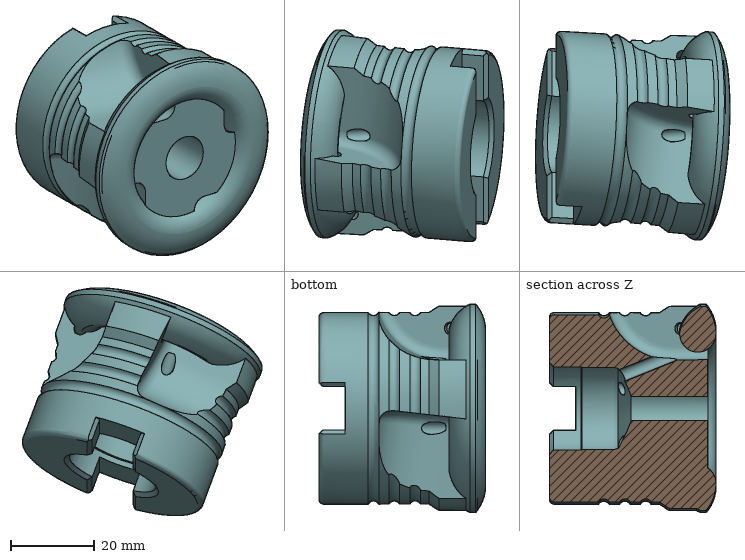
import cadquery as cq
import math

length = 40.0
cutting_radius = 25.0
tooth_count = 4

shank_radius = 23.0
lead_length = 1.5
lead_height = 1.0
lead_bulge = (0.45, 22.7)
head_radius = 24.5
flare_start = 26.4
flare_end = 28.75
head_end = 38.0

groove_first = 13.1
groove_pitch = 5.0
groove_count = 3
groove_radius = 1.5
groove_depth = 0.75

rim_back = 31.15
rim_waist_radius = 18.75
rim_inner_radius = 14.25
rim_back_bulge = (32.8, 22.35)
rim_crest_start = 36.25
rim_crest_end = 37.6
rim_front_bulge = (39.05, 22.75)

bore_radius = 11.0
bore_chamfer = 1.0
bore_step = 0.15
bore_step_start = 7.65
bore_step_end = 7.9
bore_neck_start = 15.65
bore_end = 16.5
bore_neck_radius = 10.65
bore_point_angle = 118.0
through_radius = 5.5

slot_width = 10.4
slot_depth = 6.3
slot_chamfer = 1.0

gash_floor = 11.6
gash_run_out_start = 30.0
gash_run_out_radius = 16.0
gash_fillet = 3.0
gash_wall_offset = 1.95
gash_tilt = 6.5

screw_radius = 1.5
screw_x = 31.6
screw_height = 19.15
screw_depth = 5.0

coolant_radius = 1.5
coolant_offset = 4.75
coolant_exit_x = 27.6
coolant_exit_height = 12.0
coolant_angle = 22.0
coolant_reach_back = 12.0
coolant_reach_out = 2.5

clearance = 5.0


def revolve_about_x(profile):
    return profile.close().revolve(360, (0, 0, 0), (1, 0, 0))


def turned_body():
    body = revolve_about_x(
        cq.Workplane("XY")
        .lineTo(0, shank_radius - lead_height)
        .threePointArc(lead_bulge, (lead_length, shank_radius))
        .lineTo(flare_start, shank_radius)
        .lineTo(flare_end, head_radius)
        .lineTo(head_end, head_radius)
        .lineTo(head_end, 0)
    )
    groove_center = shank_radius - groove_depth + groove_radius
    for index in range(groove_count):
        groove = cq.Solid.makeTorus(
            groove_center,
            groove_radius,
            cq.Vector(groove_first + index * groove_pitch, 0, 0),
            cq.Vector(1, 0, 0),
        )
        body = body.cut(cq.Workplane(groove))
    return body


def cutting_rim():
    rim_inside = ((rim_back + length) / 2, rim_inner_radius)
    return revolve_about_x(
        cq.Workplane("XY")
        .moveTo(rim_back, rim_waist_radius)
        .threePointArc(rim_back_bulge, (rim_crest_start, cutting_radius))
        .lineTo(rim_crest_end, cutting_radius)
        .threePointArc(rim_front_bulge, (length, rim_waist_radius))
        .threePointArc(rim_inside, (rim_back, rim_waist_radius))
    )


def bore():
    inner_radius = bore_radius - bore_step
    cone_length = (bore_neck_radius - through_radius) / math.tan(math.radians(bore_point_angle / 2))
    return revolve_about_x(
        cq.Workplane("XY")
        .lineTo(0, bore_radius + bore_chamfer)
        .lineTo(bore_chamfer, bore_radius)
        .lineTo(bore_step_start, bore_radius)
        .lineTo(bore_step_end, inner_radius)
        .lineTo(bore_neck_start, inner_radius)
        .lineTo(bore_end, bore_neck_radius)
        .lineTo(bore_end + cone_length, through_radius)
        .lineTo(length, through_radius)
        .lineTo(length, 0)
    )


def drive_slot():
    half_width = slot_width / 2
    mouth = half_width + slot_chamfer
    mouth_height = math.sqrt(shank_radius**2 - mouth**2)
    slot = (
        cq.Workplane("XY")
        .moveTo(0, mouth)
        .lineTo(slot_chamfer, half_width)
        .lineTo(slot_depth, half_width)
        .lineTo(slot_depth, -half_width)
        .lineTo(slot_chamfer, -half_width)
        .lineTo(0, -mouth)
        .close()
        .extrude(cutting_radius, both=True)
    )
    flare = (
        cq.Workplane("YZ")
        .moveTo(half_width, mouth_height - slot_chamfer)
        .lineTo(mouth, mouth_height)
        .lineTo(mouth, cutting_radius)
        .lineTo(-mouth, cutting_radius)
        .lineTo(-mouth, mouth_height)
        .lineTo(-half_width, mouth_height - slot_chamfer)
        .close()
        .extrude(slot_depth)
    )
    return slot.union(flare).union(flare.mirror("XY"))


def wall_plane():
    tilt = math.radians(gash_tilt)
    return cq.Plane(
        origin=(gash_run_out_start, 0, -gash_wall_offset),
        xDir=(math.cos(tilt), 0, -math.sin(tilt)),
        normal=(-math.sin(tilt), 0, -math.cos(tilt)),
    )


def gash():
    diagonal = gash_run_out_radius * math.sqrt(0.5)
    center_height = gash_floor + gash_run_out_radius
    top = center_height + clearance
    front = length - gash_run_out_start + clearance
    pocket = (
        cq.Workplane(wall_plane())
        .moveTo(front, gash_floor)
        .lineTo(0, gash_floor)
        .threePointArc((-diagonal, center_height - diagonal), (-gash_run_out_radius, center_height))
        .lineTo(-gash_run_out_radius, top)
        .lineTo(front, top)
        .close()
        .extrude(cutting_radius + clearance)
    )
    corner = wall_plane().toWorldCoords((front / 2, gash_floor, 0))
    corner_edge = cq.selectors.NearestToPointSelector(corner.toTuple())
    return pocket.edges(corner_edge).fillet(gash_fillet)


def screw_hole():
    along = screw_x - gash_run_out_start
    return (
        cq.Workplane(wall_plane())
        .center(along, screw_height)
        .circle(screw_radius)
        .extrude(-screw_depth)
    )


def coolant_hole():
    angle = math.radians(coolant_angle)
    direction = cq.Vector(math.cos(angle), -math.sin(angle), 0)
    exit_point = cq.Vector(coolant_exit_x, -coolant_exit_height, -coolant_offset)
    start = exit_point - direction * coolant_reach_back
    hole = cq.Solid.makeCylinder(coolant_radius, coolant_reach_back + coolant_reach_out, start, direction)
    return cq.Workplane(hole)


def around_axis(feature):
    step = 360 / tooth_count
    return [feature.rotate((0, 0, 0), (1, 0, 0), index * step) for index in range(tooth_count)]


result = turned_body()
for cutter in around_axis(gash()) + around_axis(screw_hole()):
    result = result.cut(cutter)
result = result.union(cutting_rim()).cut(bore()).cut(drive_slot())
for cutter in around_axis(coolant_hole()):
    result = result.cut(cutter)